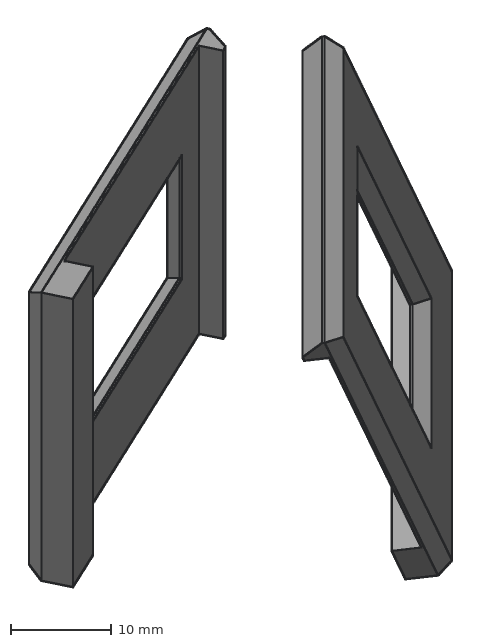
import cadquery as cq

length = 49.2
height = 35.0
plate_thickness = 1.95
bevel_depth = 1.65
edge_bevel = 1.0

window_length = 30.0
window_height = 15.0
window_bevel = 1.05
window_center_y = 1.45

total_depth = 5.0
foot_width = 6.0

hook_depth = 4.55
hook_width = 3.15
hook_tip_width = 0.75


def tapered_block(front_size, back_size, center_y=0.0):
    """Loft between a rectangle on the front face and one at the bevel depth."""
    return (
        cq.Workplane("YZ")
        .center(center_y, 0)
        .rect(*front_size)
        .workplane(offset=bevel_depth)
        .rect(*back_size)
        .loft(ruled=True)
    )


def full_height_prism(points):
    """Extrude an XY outline over the whole height, centred on Z = 0."""
    return cq.Workplane("XY").polyline(points).close().extrude(height / 2, both=True)


edge = length / 2
foot_inner_y = -edge + foot_width
hook_inner_y = edge - hook_width
body = full_height_prism([
    (bevel_depth, -edge),
    (total_depth, -edge),
    (total_depth, foot_inner_y),
    (plate_thickness, foot_inner_y),
    (plate_thickness, hook_inner_y),
    (hook_depth, hook_inner_y),
    (hook_depth, hook_inner_y + hook_tip_width),
    (plate_thickness, edge),
    (bevel_depth, edge),
])

bevelled_front = tapered_block(
    (length - 2 * edge_bevel, height - 2 * edge_bevel),
    (length, height),
)

window_mouth = tapered_block(
    (window_length + 2 * window_bevel, window_height + 2 * window_bevel),
    (window_length, window_height),
    window_center_y,
)
window_opening = (
    cq.Workplane("YZ")
    .center(window_center_y, 0)
    .rect(window_length, window_height)
    .extrude(plate_thickness)
)

result = body.union(bevelled_front).cut(window_mouth).cut(window_opening)